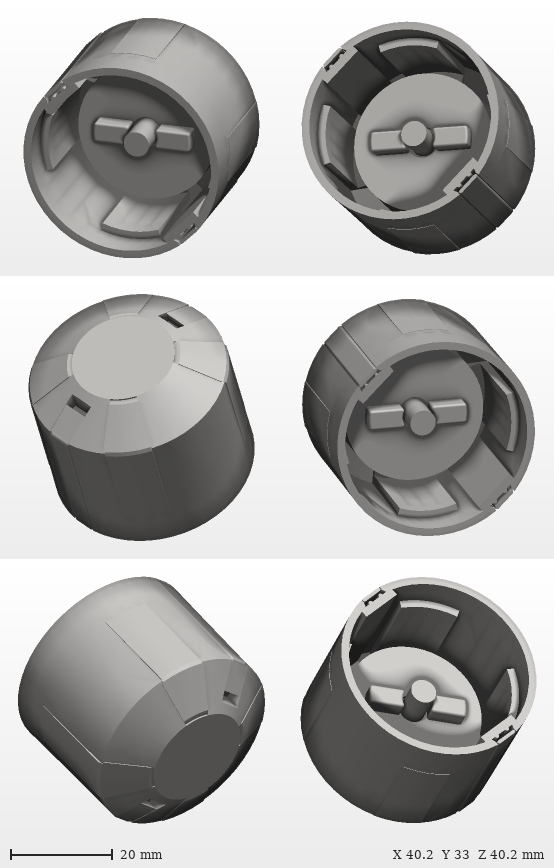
import cadquery as cq
import math


height = 33.0
rim_radius = 20.1
shoulder_depth = 27.65
shoulder_radius = 19.8
crown_radius = 10.33
roof_slope = (height - shoulder_depth) / (shoulder_radius - crown_radius)

mouth_radius = 18.52
wall_end_radius = 18.32
ledge_depth = 26.3
core_radius = 14.05
core_face_depth = 17.05

rib_start_depth = 6.3
rib_inner_radius = 16.95
rib_inner_end_radius = 16.8
rib_half_width = 6.1
rib_width_radius = 17.3
rib_side_angle = 15.0

backing_width = 8.85
backing_distance = 16.6

post_radius = 2.57
post_top_depth = 10.13
moat_radius = 3.1
moat_depth = 0.8
key_radius = 9.95
key_width = 3.98
key_top_depth = 13.7
key_fillet = 0.5
key_corner_fillet = 0.52

pad_radius = 20.1
pad_width = 9.35
pad_end_depth = 8.05
pad_corner_depth = 27.15
pad_wedge_angle = 29.4
pad_top_depth = 32.63
pad_top_radius = 11.37
pad_roof_radius = 19.7
pad_root_radius = 18.1
pad_roof_depth = pad_top_depth - roof_slope * (pad_roof_radius - pad_top_radius)

strip_angles = (45, 225)
strip_face_distance = 19.95
strip_width = 5.0
strip_fillet = 0.55
strip_end_fillet = 0.8
groove_width = 5.3
groove_distance = 19.35
channel_distance = 19.4
window_inner_distance = 12.15
window_outer_distance = 14.1
window_floor_depth = 28.13
pocket_depth = 24.1
pocket_floor_distance = 18.32
pocket_roof_distance = 19.25
pocket_ear_distance = 19.45
pocket_floor_width = 5.95
pocket_ear_width = 5.0
pocket_roof_width = 4.25
bead_radius = 0.5
bead_spacing = 2.9

overlap = 0.4


def turned(solid, angle):
    """Turn a solid about the cap's axis."""
    return solid.rotate((0, 0, 0), (0, 0, 1), angle)


def revolved(points, angle=360.0):
    """Revolve a closed (radius, depth) outline about Z, centred on the +X direction."""
    outline = cq.Workplane("XZ").polyline(points).close()
    solid = outline.revolve(angle, (0, 0, 0), (0, 1, 0))
    return turned(solid, -angle / 2)


def block(x_min, x_max, width, z_min, z_max):
    """Box from x_min to x_max and z_min to z_max, centred on Y."""
    size = (x_max - x_min, width, z_max - z_min)
    return cq.Workplane("XY").box(*size, centered=(False, True, False)).translate((x_min, 0, z_min))


def shell_blank():
    """Solid outer form: slightly drafted cylinder and conical roof."""
    return revolved([
        (0, 0), (rim_radius, 0), (shoulder_radius, shoulder_depth), (crown_radius, height), (0, height),
    ])


def inner_rib():
    """Region kept solid by a rib: a wedge with straight sides and a drafted round inner face."""
    slope = math.tan(math.radians(rib_side_angle))
    tip_half = rib_half_width + slope * (rim_radius - rib_width_radius)
    root_radius = core_radius - 2 * overlap
    root_half = rib_half_width + slope * (root_radius - rib_width_radius)
    wedge = (
        cq.Workplane("XY").workplane(offset=rib_start_depth)
        .polyline([
            (root_radius, -root_half), (rim_radius, -tip_half),
            (rim_radius, tip_half), (root_radius, root_half),
        ])
        .close().extrude(height - rib_start_depth)
    )
    bore = revolved([
        (0, rib_start_depth), (rib_inner_radius, rib_start_depth),
        (rib_inner_end_radius, ledge_depth), (0, ledge_depth),
    ])
    return wedge.cut(bore)


def cavity():
    """Space inside the cap around the core, ending in conical recesses between the ribs."""
    cone_depth = ledge_depth + roof_slope * (wall_end_radius - core_radius)
    space = revolved([
        (0, 0), (mouth_radius, 0), (wall_end_radius, ledge_depth), (core_radius, cone_depth),
        (core_radius, core_face_depth), (0, core_face_depth),
    ])
    for angle in (0, 90, 180, 270):
        space = space.cut(turned(inner_rib(), angle))
    backing = block(backing_distance, rim_radius, backing_width, -overlap, height)
    ledge = block(core_radius - 2 * overlap, rim_radius, backing_width, ledge_depth, height)
    for angle in strip_angles:
        space = space.cut(turned(backing, angle))
        space = space.cut(turned(ledge, angle))
    return space


def key_bars():
    """Two rounded bars standing on the core face either side of the post."""
    bars_height = core_face_depth - key_top_depth
    ring = (
        cq.Workplane("XY").workplane(offset=key_top_depth)
        .circle(key_radius).circle(moat_radius).extrude(bars_height + overlap)
    )
    span = block(-key_radius, key_radius, key_width, key_top_depth, core_face_depth + overlap)
    bars = ring.intersect(span).edges("|Z").fillet(key_corner_fillet)
    return bars.faces("<Z").edges().fillet(key_fillet)


def hub_post():
    """Round post in the middle of the core face."""
    return (
        cq.Workplane("XY").workplane(offset=post_top_depth)
        .circle(post_radius).extrude(core_face_depth + moat_depth + overlap - post_top_depth)
    )


def hub_moat():
    """Round clearance sunk into the core face around the post."""
    return cq.Workplane("XY").workplane(offset=core_face_depth).circle(moat_radius).extrude(moat_depth)


def pad_top_notch():
    """Cutter that squares off the crown's edge above a pad."""
    return revolved([
        (crown_radius, pad_top_depth), (pad_top_radius, pad_top_depth),
        (pad_top_radius, height), (crown_radius, height),
    ], pad_wedge_angle)


def wall_pad():
    """Raised pad along the wall, with straight sides and a bevelled roof end."""
    sleeve = revolved([
        (pad_root_radius, pad_end_depth), (pad_radius, pad_end_depth), (pad_radius, pad_corner_depth),
        (pad_roof_radius, pad_roof_depth), (pad_root_radius, shoulder_depth),
    ], 2 * pad_wedge_angle)
    return sleeve.intersect(block(0, rim_radius, pad_width, 0, height))


def roof_pad():
    """Raised wedge that continues a pad over the roof."""
    return revolved([
        (crown_radius, pad_top_depth), (pad_top_radius, pad_top_depth),
        (pad_roof_radius, pad_roof_depth), (pad_root_radius, shoulder_depth),
    ], pad_wedge_angle)


def strip_recess():
    """Cutter for a strip's groove, its flat roof channel and the window at the channel's end."""
    groove = block(groove_distance, rim_radius + overlap, groove_width, 0, shoulder_depth)
    roof_rise = roof_slope * (channel_distance - window_outer_distance)
    channel = (
        cq.Workplane("XZ")
        .polyline([
            (rim_radius + overlap, shoulder_depth - roof_slope * (rim_radius + overlap - channel_distance)),
            (window_outer_distance, shoulder_depth + roof_rise),
            (window_outer_distance, height), (rim_radius + overlap, height),
        ])
        .close().extrude(groove_width / 2, both=True)
    )
    window = block(window_inner_distance, window_outer_distance, groove_width, window_floor_depth, height)
    return groove.union(channel).union(window)


def strip():
    """Flat strip lying in its groove, rounded along both sides and at its roof end."""
    bar = block(groove_distance - overlap, strip_face_distance, strip_width, 0, shoulder_depth)
    bar = bar.faces(">Z").edges(">X").fillet(strip_end_fillet)
    return bar.edges("|Z").edges(">X").fillet(strip_fillet)


def rim_pocket():
    """Dovetail pocket running from the rim behind a strip, with a roof-parallel end and two floor beads."""
    right = [
        (pocket_floor_distance, pocket_floor_width / 2),
        (pocket_ear_distance, pocket_ear_width / 2),
        (pocket_roof_distance, pocket_roof_width / 2),
    ]
    left = [(x, -y) for x, y in reversed(right)]
    dovetail = cq.Workplane("XY").polyline(right + left).close().extrude(height)
    floor_end_depth = pocket_depth + roof_slope * (pocket_ear_distance - pocket_floor_distance)
    reach = (
        cq.Workplane("XZ")
        .polyline([
            (pocket_floor_distance, 0), (pocket_ear_distance, 0),
            (pocket_ear_distance, pocket_depth), (pocket_floor_distance, floor_end_depth),
        ])
        .close().extrude(pocket_floor_width, both=True)
    )
    beads = (
        cq.Workplane("XY")
        .pushPoints([(pocket_floor_distance, y) for y in (-bead_spacing / 2, bead_spacing / 2)])
        .circle(bead_radius).extrude(height)
    )
    return dovetail.intersect(reach).cut(beads)


cap = shell_blank().cut(cavity())
cap = cap.union(key_bars()).cut(hub_moat()).union(hub_post())

for pad_angle in (0, 90, 180, 270):
    cap = cap.cut(turned(pad_top_notch(), pad_angle))
    cap = cap.union(turned(wall_pad(), pad_angle)).union(turned(roof_pad(), pad_angle))

for strip_angle in strip_angles:
    cap = cap.cut(turned(strip_recess(), strip_angle))
    cap = cap.union(turned(strip(), strip_angle))
    cap = cap.cut(turned(rim_pocket(), strip_angle))

result = cap.rotate((0, 0, 0), (1, 0, 0), -90)